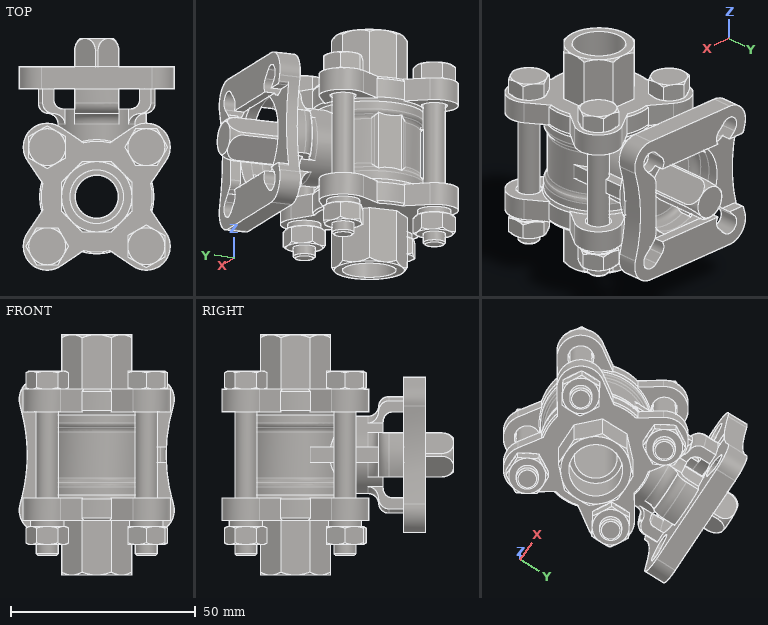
import cadquery as cq
import math


overall_height = 65.0
bore_diameter = 11.6
port_diameter = 14.5
port_depth = 12.0
octagon_flats = 19.0
octagon_chamfer_drop = 0.8

flange_inner_z = 11.65
flange_outer_z = 17.75
lobe_radius = 6.5
bolt_offset = 13.4
valley_offset = 12.2
disc_radius = 15.45
disc_face_radius = 15.0
disc_chamfer_height = 0.65
disc_cone_end_z = 11.95

neck_radius = 14.0
collar_radius = 15.0
neck_half_height = 6.2
collar_start_z = 8.65
collar_end_z = 10.85
pad_x = -14.4
pad_half_width = 3.4
pad_root_half_width = 4.3
pad_root_x = -13.5
pad_blend_half_width = 4.95
pad_half_height = 8.0

bolt_diameter = 6.0
bolt_hole_diameter = 7.0
bolt_tip_z = -27.2
bolt_tip_chamfer = 0.5
hex_flats = 10.0
hex_height = 4.9
washer_diameter = 9.0
washer_thickness = 1.6
chamfer_slope = math.tan(math.radians(30))

bonnet_radius = 10.5
bonnet_top_y = 23.75
arm_width = 12.0
arm_outer_radius = 15.8
arm_inner_radius = 13.0
arm_inner_fillet = 2.3
arm_outer_fillet = 2.8
arm_root_fillet = 2.8
shoulder_y = 22.5
rib_width = 4.2
rib_end_x = 13.4

plate_size = 42.0
plate_bottom_y = 29.2
plate_thickness = 6.0
plate_corner_radius = 6.0
waist_half_width = 18.8
slot_diameter = 5.5
inner_pitch_diameter = 36.0
outer_pitch_diameter = 42.0
recess_half_width = 11.05
recess_mouth_fillet = 0.8
recess_depth = 2.85
recess_end_x = 13.0
recess_end_half_width = 9.05
recess_end_fillet = 3.4
groove_depth = 0.7
groove_ramp_length = 1.5
selection_margin = 1.0

stem_diameter = 12.0
stem_square = 9.0
stem_tip_y = 42.81
stem_dome_height = 3.3

half_height = overall_height / 2
plate_top_y = plate_bottom_y + plate_thickness
recess_floor_y = plate_top_y - recess_depth
nut_top_z = -flange_outer_z - washer_thickness
bolt_places = [(sx * bolt_offset, sy * bolt_offset) for sx in (-1, 1) for sy in (-1, 1)]


def cylinder_z(radius, z_low, z_high):
    return cq.Workplane("XY").workplane(offset=z_low).circle(radius).extrude(z_high - z_low)


def cylinder_y(radius, y_low, y_high):
    return cq.Workplane("XZ").workplane(offset=-y_low).circle(radius).extrude(y_low - y_high)


def box_between(low, high):
    size = [b - a for a, b in zip(low, high)]
    return cq.Workplane("XY").box(*size, centered=False).translate(low)


def revolve_profile(profile):
    """Revolve about the sketch's vertical axis: Z for XZ sketches, Y for XY sketches."""
    return profile.close().revolve(360, (0, 0, 0), (0, 1, 0))


def polygon_prism(sides, flats, z_low, z_high, turn):
    across_corners = flats / math.cos(math.pi / sides)
    prism = cq.Workplane("XY").polygon(sides, across_corners).extrude(z_high - z_low)
    return prism.rotate((0, 0, 0), (0, 0, 1), turn).translate((0, 0, z_low))


def hexagon(z_low, z_high, turn):
    """Hexagon with its corners chamfered at both ends."""
    corner_radius = hex_flats / 2 / math.cos(math.pi / 6)
    face_radius = hex_flats / 2
    drop = (corner_radius - face_radius) * chamfer_slope
    envelope = cylinder_z(corner_radius, z_low, z_high)
    envelope = envelope.faces("|Z").chamfer(drop, corner_radius - face_radius)
    return polygon_prism(6, hex_flats, z_low, z_high, turn).intersect(envelope)


def flange_outline():
    """Four-lobed star: straight flanks run from each valley tangent to the lobes."""
    reach_x = bolt_offset
    reach_y = bolt_offset - valley_offset
    distance = math.hypot(reach_x, reach_y)
    angle = math.atan2(reach_y, reach_x) + math.asin(lobe_radius / distance)
    flank = math.sqrt(distance**2 - lobe_radius**2)
    tangent_x = flank * math.cos(angle)
    tangent_y = valley_offset + flank * math.sin(angle)
    tip = bolt_offset + lobe_radius * math.sqrt(0.5)
    outline = cq.Workplane("XY").moveTo(0, valley_offset)
    for cosine, sine in ((1, 0), (0, -1), (-1, 0), (0, 1)):
        corners = [(tangent_x, tangent_y), (tip, tip), (tangent_y, tangent_x), (valley_offset, 0)]
        turned = [(x * cosine - y * sine, x * sine + y * cosine) for x, y in corners]
        flank_end, lobe_tip, lobe_end, next_valley = turned
        outline = outline.lineTo(*flank_end).threePointArc(lobe_tip, lobe_end)
        outline = outline.lineTo(*next_valley)
    return outline.close()


def end_cap():
    """Upper end cap: lobed flange, round disc and octagonal pipe end."""
    thickness = flange_outer_z - flange_inner_z
    star = flange_outline().extrude(thickness).translate((0, 0, flange_inner_z))
    holes = cq.Workplane("XY").workplane(offset=flange_inner_z)
    holes = holes.pushPoints(bolt_places).circle(bolt_hole_diameter / 2).extrude(thickness)

    disc = cq.Workplane("XZ").moveTo(0, collar_end_z).lineTo(collar_radius, collar_end_z)
    disc = disc.lineTo(disc_radius, disc_cone_end_z)
    disc = disc.lineTo(disc_radius, flange_outer_z - disc_chamfer_height)
    disc = disc.lineTo(disc_face_radius, flange_outer_z).lineTo(0, flange_outer_z)
    flange = star.union(revolve_profile(disc)).cut(holes)

    corner_radius = octagon_flats / 2 / math.cos(math.pi / 8)
    rim_width = corner_radius - octagon_flats / 2
    envelope = cylinder_z(corner_radius, 0, half_height)
    envelope = envelope.faces(">Z").chamfer(octagon_chamfer_drop, rim_width)
    pipe_end = polygon_prism(8, octagon_flats, flange_inner_z, half_height, 180 / 8)
    return flange.union(pipe_end.intersect(envelope))


def centre_body():
    """Waisted drum with S-shaped steps up to the collars and a name pad on -X."""
    step = collar_radius - neck_radius
    rise = collar_start_z - neck_half_height
    turn = 2 * math.atan2(step, rise)
    arc_radius = rise / 2 / math.sin(turn)
    sag = arc_radius * (1 - math.cos(turn / 2))
    lift = arc_radius * math.sin(turn / 2)
    mid_point = (neck_radius + step / 2, neck_half_height + rise / 2)
    low_arc = (neck_radius + sag, neck_half_height + lift)
    high_arc = (collar_radius - sag, collar_start_z - lift)
    profile = cq.Workplane("XZ").moveTo(0, 0).lineTo(neck_radius, 0)
    profile = profile.lineTo(neck_radius, neck_half_height)
    profile = profile.threePointArc(low_arc, mid_point)
    profile = profile.threePointArc(high_arc, (collar_radius, collar_start_z))
    profile = profile.lineTo(collar_radius, collar_end_z).lineTo(0, collar_end_z)
    upper = revolve_profile(profile)
    drum = upper.union(upper.mirror("XY"))

    blend_x = -math.sqrt(neck_radius**2 - pad_blend_half_width**2)
    pad_outline = [
        (0, pad_blend_half_width),
        (blend_x, pad_blend_half_width),
        (pad_root_x, pad_root_half_width),
        (pad_x, pad_half_width),
        (pad_x, -pad_half_width),
        (pad_root_x, -pad_root_half_width),
        (blend_x, -pad_blend_half_width),
        (0, -pad_blend_half_width),
    ]
    pad = cq.Workplane("XY").polyline(pad_outline).close().extrude(pad_half_height, both=True)
    return drum.union(pad)


def bolt_set(turn):
    """Bolt with head on the upper flange, washer and nut under the lower one."""
    shank = cylinder_z(bolt_diameter / 2, bolt_tip_z, flange_outer_z)
    shank = shank.faces("<Z").chamfer(bolt_tip_chamfer)
    head = hexagon(flange_outer_z, flange_outer_z + hex_height, turn)
    washer = cylinder_z(washer_diameter / 2, nut_top_z, -flange_outer_z)
    nut = hexagon(nut_top_z - hex_height, nut_top_z, turn)
    return shank.union(head).union(washer).union(nut)


def bonnet():
    """Round neck with a rib on +X and four bracket arms cut from one bell of revolution."""
    neck = cylinder_y(bonnet_radius, 0, bonnet_top_y)
    diagonal = math.sqrt(0.5)
    bend_y = shoulder_y + arm_outer_fillet
    bend_radius = arm_outer_radius - arm_outer_fillet
    root_y = shoulder_y - arm_root_fillet
    root_radius = bonnet_radius + arm_root_fillet
    inner_bend_y = bonnet_top_y + arm_inner_fillet
    inner_bend_radius = arm_inner_radius - arm_inner_fillet

    bell = cq.Workplane("XY").moveTo(0, root_y).lineTo(bonnet_radius, root_y)
    root_mid = (root_radius - arm_root_fillet * diagonal, root_y + arm_root_fillet * diagonal)
    bell = bell.threePointArc(root_mid, (root_radius, shoulder_y))
    bell = bell.lineTo(bend_radius, shoulder_y)
    bend_mid = (bend_radius + arm_outer_fillet * diagonal, bend_y - arm_outer_fillet * diagonal)
    bell = bell.threePointArc(bend_mid, (arm_outer_radius, bend_y))
    bell = bell.lineTo(arm_outer_radius, plate_bottom_y).lineTo(arm_inner_radius, plate_bottom_y)
    bell = bell.lineTo(arm_inner_radius, inner_bend_y)
    inner_mid = (
        inner_bend_radius + arm_inner_fillet * diagonal,
        inner_bend_y - arm_inner_fillet * diagonal,
    )
    bell = bell.threePointArc(inner_mid, (inner_bend_radius, bonnet_top_y))
    bell = bell.lineTo(0, bonnet_top_y)

    long_side = 2 * arm_outer_radius
    arm_depth = plate_bottom_y
    cross = cq.Workplane("XY").box(long_side, arm_depth, arm_width)
    cross = cross.union(cq.Workplane("XY").box(arm_width, arm_depth, long_side))
    cross = cross.translate((0, arm_depth / 2, 0))
    arms = revolve_profile(bell).intersect(cross)

    rib = box_between((0, 0, -rib_width / 2), (rib_end_x, shoulder_y, rib_width / 2))
    return neck.union(arms).union(rib)


def plate_blank():
    """Square plate with round corners and concave +X and -X sides."""
    half = plate_size / 2
    corner = half - plate_corner_radius
    gap = waist_half_width - corner
    waist_radius = (gap**2 + corner**2 - plate_corner_radius**2) / (2 * (plate_corner_radius - gap))
    waist_centre = waist_half_width + waist_radius
    share = plate_corner_radius / (plate_corner_radius + waist_radius)
    join_x = corner + (waist_centre - corner) * share
    join_z = corner - corner * share
    crown = corner + plate_corner_radius * math.sqrt(0.5)

    outline = cq.Workplane("XZ").workplane(offset=-plate_bottom_y).moveTo(-corner, half)
    outline = outline.lineTo(corner, half)
    outline = outline.threePointArc((crown, crown), (join_x, join_z))
    outline = outline.threePointArc((waist_half_width, 0), (join_x, -join_z))
    outline = outline.threePointArc((crown, -crown), (corner, -half))
    outline = outline.lineTo(-corner, -half)
    outline = outline.threePointArc((-crown, -crown), (-join_x, -join_z))
    outline = outline.threePointArc((-waist_half_width, 0), (-join_x, join_z))
    outline = outline.threePointArc((-crown, crown), (-corner, half))
    return outline.close().extrude(-plate_thickness)


def mounting_slots():
    """Diagonal slots that join the two bolt circles of the plate."""
    pitch_step = (outer_pitch_diameter - inner_pitch_diameter) / 2
    middle_radius = (outer_pitch_diameter + inner_pitch_diameter) / 4
    slots = cq.Workplane("XZ").workplane(offset=-plate_bottom_y)
    slots = slots.center(middle_radius, 0).slot2D(pitch_step + slot_diameter, slot_diameter)
    slot = slots.extrude(-plate_thickness)
    cutter = cq.Workplane("XY")
    for quarter in range(4):
        cutter = cutter.add(slot.rotate((0, 0, 0), (0, 1, 0), 45 + 90 * quarter))
    return cutter.combine()


def edge_groove():
    """Short groove in the lower face of the plate whose floor curves up to the +X side."""
    floor_y = plate_bottom_y + groove_depth
    ramp_start_x = waist_half_width - groove_ramp_length
    profile = cq.Workplane("XY").moveTo(arm_outer_radius, plate_bottom_y)
    profile = profile.lineTo(arm_outer_radius, floor_y).lineTo(ramp_start_x, floor_y)
    profile = profile.tangentArcPoint((waist_half_width, plate_bottom_y), relative=False)
    return profile.close().extrude(rib_width / 2, both=True)


def plate_recess():
    """Channel in the upper face, open to -X; its far wall has rounded 45 degree corners."""
    corner_x = recess_end_x + recess_half_width - recess_end_half_width
    outline = [
        (-plate_size / 2, recess_half_width),
        (corner_x, recess_half_width),
        (recess_end_x, recess_end_half_width),
        (recess_end_x, -recess_end_half_width),
        (corner_x, -recess_half_width),
        (-plate_size / 2, -recess_half_width),
    ]
    recess = cq.Workplane("XZ").workplane(offset=-recess_floor_y)
    recess = recess.polyline(outline).close().extrude(-recess_depth)
    end_corners = cq.selectors.BoxSelector(
        (recess_end_x - selection_margin, recess_floor_y, -recess_end_half_width - selection_margin),
        (recess_end_x + selection_margin, plate_top_y, recess_end_half_width + selection_margin),
    )
    return recess.edges("|Y").edges(end_corners).fillet(recess_end_fillet)


def mounting_plate():
    bore = cylinder_y(arm_inner_radius, plate_bottom_y, recess_floor_y)
    plate = plate_blank().cut(plate_recess())
    mouth_corners = cq.selectors.BoxSelector(
        (-plate_size / 2, recess_floor_y, -recess_half_width - selection_margin),
        (-waist_half_width, plate_top_y, recess_half_width + selection_margin),
    )
    plate = plate.edges("|Y").edges(mouth_corners).fillet(recess_mouth_fillet).cut(bore)
    return plate.cut(mounting_slots()).cut(edge_groove())


def stem():
    """Round stem with a domed tip and a square tang turned corner-up."""
    radius = stem_diameter / 2
    tip_radius = stem_square / 2
    inset = radius - tip_radius
    dome_radius = (inset**2 + stem_dome_height**2) / (2 * inset)
    half_turn = math.asin(stem_dome_height / dome_radius) / 2
    dome_start_y = stem_tip_y - stem_dome_height
    dome_mid = (
        radius - dome_radius * (1 - math.cos(half_turn)),
        dome_start_y + dome_radius * math.sin(half_turn),
    )
    profile = cq.Workplane("XY").lineTo(radius, 0).lineTo(radius, dome_start_y)
    profile = profile.threePointArc(dome_mid, (tip_radius, stem_tip_y)).lineTo(0, stem_tip_y)
    rod = revolve_profile(profile)

    tang_length = stem_tip_y - bonnet_top_y
    tang = cq.Workplane("XY").box(stem_square, tang_length, stem_square)
    tang = tang.rotate((0, 0, 0), (0, 1, 0), 45)
    tang = tang.translate((0, bonnet_top_y + tang_length / 2, 0))
    return rod.intersect(tang.union(cylinder_y(stem_diameter, 0, bonnet_top_y)))


def flow_passage():
    passage = cylinder_z(bore_diameter / 2, -half_height, half_height)
    for z_low in (-half_height, half_height - port_depth):
        passage = passage.union(cylinder_z(port_diameter / 2, z_low, z_low + port_depth))
    return passage


cap = end_cap()
valve = centre_body().union(cap).union(cap.mirror("XY"))
valve = valve.union(bonnet()).union(mounting_plate()).union(stem())
for x, y in bolt_places:
    hex_turn = 0 if x * y > 0 else 90
    valve = valve.union(bolt_set(hex_turn).translate((x, y, 0)))

result = valve.cut(flow_passage())